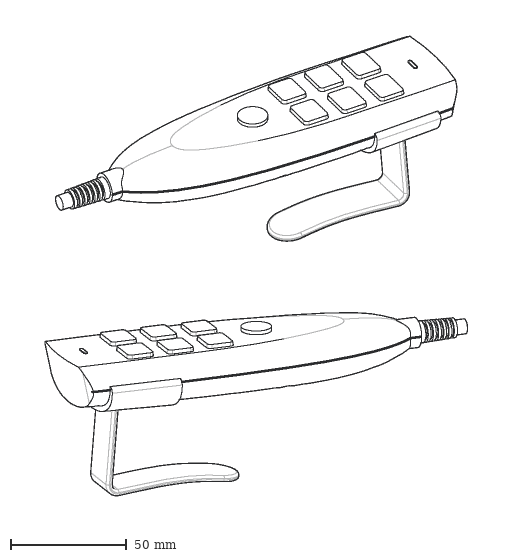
import cadquery as cq
import math

TOTAL_LENGTH = 189.2

SHELL_SECTIONS = [
    (-3.8, 24.5, 12.5, 11.7),
    (28.4, 25.7, 12.3, 13.0),
    (66.2, 26.1, 12.1, 14.2),
    (104.0, 24.4, 11.2, 14.5),
    (132.5, 20.0, 10.2, 13.5),
    (151.3, 13.2, 8.3, 10.2),
    (162.7, 5.3, 4.0, 6.5),
]
CROWN_FULLNESS = 0.78
BELLY_FULLNESS = 0.61
PANEL_HEIGHT = 10.2

END_SLANT = 4.7
END_SLANT_HEIGHT = 22.3
ENVELOPE_REACH = 1.5
END_BOW = 2.8
END_CORNER_RADIUS = 4.2
END_HALF_WIDTH = 25.3
ENVELOPE_HALF_WIDTH = 30.3

GROOVE_WIDTH = 0.5
GROOVE_DEPTH = 0.4

BUTTON_HEIGHT = 1.7
BUTTON_DRAFT = 10.0
KEY_LENGTH = 12.3
KEY_WIDTH = 15.3
KEY_CORNER_RADIUS = 1.9
KEY_ROWS = 3
KEY_PITCH = 18.7
FIRST_KEY_STATION = 31.8
KEY_INNER_EDGE = 2.0
LAST_ROW_TRIM = 0.8
ROUND_KEY_RADIUS = 6.6
ROUND_KEY_STATION = 92.1
LAMP_STATION = 11.7
LAMP_LENGTH = 1.7
LAMP_WIDTH = 6.5
LAMP_HEIGHT = 0.4

COLLAR_RADIUS = 6.6
COLLAR_START = 151.3
COLLAR_END = 166.5
SLEEVE_START_RADIUS = 5.0
SLEEVE_END_RADIUS = 4.4
SLEEVE_END = 184.0
SLEEVE_GROOVE_COUNT = 6
SLEEVE_GROOVE_PITCH = 2.5
SLEEVE_GROOVE_WIDTH = 1.1
SLEEVE_GROOVE_DEPTH = 0.8
FIRST_SLEEVE_GROOVE = 169.7
CABLE_DIAMETER = 6.6

SADDLE_SECTIONS = [
    (14.0, 27.8, 14.5),
    (46.3, 28.4, 15.7),
]
SADDLE_TOP = 1.7
SADDLE_LIP_RADIUS = 2.3
HOOK_WIDTH = 20.0
HOOK_THICKNESS = 2.8
HOOK_EDGE_RADIUS = 1.1
LEG_TOP = (22.9, -13.8)
HOOK_CORNER = (19.7, -53.2)
BEND_SETBACK = 4.7
TONGUE_RISE = (37.8, -51.5)
TONGUE_CREST = (60.5, -50.9)
TONGUE_END = (84.4, -54.0)
HOOK_REACH = 83.2


def section_half(station, half_width, height, fullness, base=0.0):
    """Two quarter curves from one side over to the other, clockwise about the cable axis.

    A positive height arches up from the base, from -X to +X; a negative one sags, from +X to -X.
    """
    start = -math.copysign(half_width, height)
    peak = base + height
    shoulder = base + fullness * height

    def quarter(points):
        return cq.Edge.makeBezier([cq.Vector(x, -station, z) for x, z in points])

    first = quarter([(start, base), (start, shoulder), (fullness * start, peak), (0, peak)])
    second = quarter([(0, peak), (-fullness * start, peak), (-start, shoulder), (-start, base)])
    return [first, second]


def shell_form(inset=0.0):
    """Smooth loft through the shell sections, each narrowed by the inset."""
    wires = []
    for station, half_width, crown, belly in SHELL_SECTIONS:
        top = section_half(station, half_width - inset, crown, CROWN_FULLNESS)
        bottom = section_half(station, half_width - inset, -belly, BELLY_FULLNESS)
        wires.append(cq.Wire.assembleEdges([*top, *bottom]))
    return cq.Workplane(cq.Solid.makeLoft(wires))


def rod(radius, start, end):
    """Cylinder on the cable axis between two stations."""
    return cq.Workplane("XZ", origin=(0, -start, 0)).circle(radius).extrude(end - start)


def end_envelope():
    """Slanted prism with a bowed, round-cornered back, which trims the shell."""
    outline = (
        cq.Workplane("XY")
        .moveTo(-ENVELOPE_HALF_WIDTH, -TOTAL_LENGTH)
        .lineTo(-END_HALF_WIDTH, -END_BOW)
        .threePointArc((0, 0), (END_HALF_WIDTH, -END_BOW))
        .lineTo(ENVELOPE_HALF_WIDTH, -TOTAL_LENGTH)
        .close()
        .extrude(1.9)
        .faces(">Y")
        .edges("|Z")
        .fillet(END_CORNER_RADIUS)
        .faces("<Z")
        .wires()
        .val()
    )
    slant = cq.Vector(0, -END_SLANT, -END_SLANT_HEIGHT) * ENVELOPE_REACH
    prism = cq.Solid.extrudeLinear(outline, [], slant)
    return cq.Workplane(prism).translate((0, 0, PANEL_HEIGHT))


def parting_groove():
    """Thin ring at Z = 0 that reaches just under the skin of the shell and collar."""
    slab = cq.Workplane().box(2 * ENVELOPE_HALF_WIDTH, COLLAR_END, GROOVE_WIDTH)
    slab = slab.translate((0, -COLLAR_END / 2, 0))
    core = shell_form(GROOVE_DEPTH)
    collar_core = rod(COLLAR_RADIUS - GROOVE_DEPTH, COLLAR_START, COLLAR_END)
    return slab.cut(core).cut(collar_core)


def key(x, station, width):
    """Round-cornered key with drafted sides."""
    return (
        cq.Workplane("XY", origin=(x, -station, PANEL_HEIGHT))
        .sketch()
        .rect(width, KEY_LENGTH)
        .vertices()
        .fillet(KEY_CORNER_RADIUS)
        .finalize()
        .extrude(BUTTON_HEIGHT, taper=BUTTON_DRAFT)
    )


def add_keypad(body):
    for row in range(KEY_ROWS):
        station = FIRST_KEY_STATION + row * KEY_PITCH
        width = KEY_WIDTH - LAST_ROW_TRIM if row == KEY_ROWS - 1 else KEY_WIDTH
        offset = KEY_INNER_EDGE + width / 2
        for x in (-offset, offset):
            body = body.union(key(x, station, width))
    round_key = (
        cq.Workplane("XY", origin=(0, -ROUND_KEY_STATION, PANEL_HEIGHT))
        .circle(ROUND_KEY_RADIUS)
        .extrude(BUTTON_HEIGHT)
    )
    lamp = (
        cq.Workplane("XY", origin=(0, -LAMP_STATION, PANEL_HEIGHT))
        .slot2D(LAMP_WIDTH, LAMP_LENGTH)
        .extrude(LAMP_HEIGHT)
    )
    return body.union(round_key).union(lamp)


def strain_relief():
    """Tapered sleeve with ring grooves."""
    sleeve = (
        cq.Workplane("XY")
        .moveTo(0, -COLLAR_END)
        .lineTo(SLEEVE_START_RADIUS, -COLLAR_END)
        .lineTo(SLEEVE_END_RADIUS, -SLEEVE_END)
        .lineTo(0, -SLEEVE_END)
        .close()
        .revolve(360, (0, 0, 0), (0, 1, 0))
    )
    core_radius = SLEEVE_END_RADIUS - SLEEVE_GROOVE_DEPTH
    for i in range(SLEEVE_GROOVE_COUNT):
        start = FIRST_SLEEVE_GROOVE + i * SLEEVE_GROOVE_PITCH - SLEEVE_GROOVE_WIDTH / 2
        end = start + SLEEVE_GROOVE_WIDTH
        ring = rod(COLLAR_RADIUS, start, end).cut(rod(core_radius, start, end))
        sleeve = sleeve.cut(ring)
    return sleeve


def make_handset(blank):
    shell = blank.intersect(end_envelope())
    shell = shell.union(rod(COLLAR_RADIUS, COLLAR_START, COLLAR_END))
    shell = shell.cut(parting_groove())
    shell = add_keypad(shell)
    return shell.union(strain_relief()).union(rod(CABLE_DIAMETER / 2, COLLAR_END, TOTAL_LENGTH))


def saddle_section(station, half_width, depth):
    """Closed outline of the saddle before the shell is cut out, with rounded upper corners."""
    rim = SADDLE_TOP - SADDLE_LIP_RADIUS
    flat = half_width - SADDLE_LIP_RADIUS
    shoulder = SADDLE_LIP_RADIUS * math.sqrt(0.5)
    side_points = [(half_width, rim), (flat + shoulder, rim + shoulder), (flat, SADDLE_TOP)]
    right = [cq.Vector(x, -station, z) for x, z in side_points]
    left = [cq.Vector(-x, -station, z) for x, z in side_points]
    left_lip = cq.Edge.makeThreePointArc(*left)
    top = cq.Edge.makeLine(left[-1], right[-1])
    right_lip = cq.Edge.makeThreePointArc(*reversed(right))
    belly = section_half(station, half_width, -depth - rim, BELLY_FULLNESS, rim)
    return cq.Wire.assembleEdges([left_lip, top, right_lip, *belly])


def make_saddle(blank):
    """Cradle that follows the belly of the shell."""
    outlines = [saddle_section(*section) for section in SADDLE_SECTIONS]
    return cq.Workplane(cq.Solid.makeLoft(outlines, True)).cut(blank)


def along_hook(point):
    """Flat vector, Y then Z, of a (station, height) point."""
    return cq.Vector(-point[0], point[1])


def make_hook():
    """Bent strip: a leg down from the saddle, a bend and a bowed tongue with a round tip."""
    leg_top = along_hook(LEG_TOP)
    corner = along_hook(HOOK_CORNER)
    leg = (corner - leg_top).normalized()
    tongue = (along_hook(TONGUE_RISE) - corner).normalized()
    bend_start = corner - leg * BEND_SETBACK
    bend_end = corner + tongue * BEND_SETBACK
    tongue_points = [along_hook(point) for point in (TONGUE_RISE, TONGUE_CREST, TONGUE_END)]
    path = (
        cq.Workplane("YZ")
        .moveTo(leg_top.x, leg_top.y)
        .lineTo(bend_start.x, bend_start.y)
        .tangentArcPoint((bend_end.x, bend_end.y), relative=False)
        .spline(tongue_points, tangents=[tongue, tongue_points[2] - tongue_points[1]], includeCurrent=True)
    )
    strip = (
        cq.Workplane("XY", origin=(0, -LEG_TOP[0], LEG_TOP[1]))
        .rect(HOOK_WIDTH, HOOK_THICKNESS)
        .sweep(path)
    )
    half_width = HOOK_WIDTH / 2
    tip_start = half_width - HOOK_REACH
    plan = (
        cq.Workplane("XY", origin=(0, 0, 2 * TONGUE_END[1]))
        .moveTo(-half_width, 0)
        .lineTo(-half_width, tip_start)
        .threePointArc((0, -HOOK_REACH), (half_width, tip_start))
        .lineTo(half_width, 0)
        .close()
        .extrude(-2 * TONGUE_END[1])
    )
    hook = strip.intersect(plan)
    return hook.edges("not (|X or |Z or >Z)").fillet(HOOK_EDGE_RADIUS)


def make_clip(blank):
    return make_saddle(blank).union(make_hook())


shell_blank = shell_form()
handset = make_handset(shell_blank)
clip = make_clip(shell_blank)

result = cq.Compound.makeCompound([handset.val(), clip.val()])